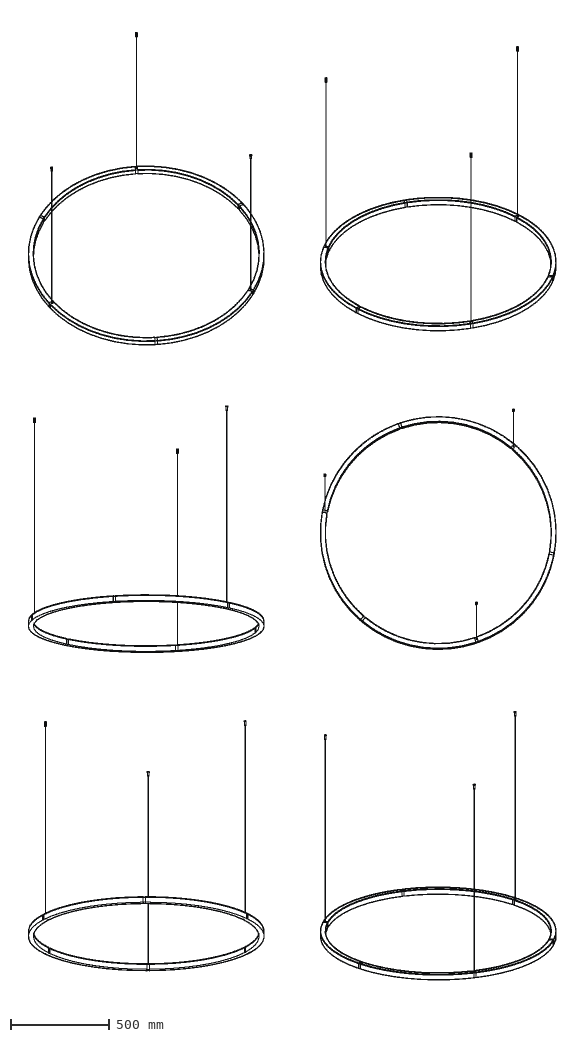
import cadquery as cq
import math

ring_diameter = 1200.0
ring_inner_diameter = 1147.0
total_height = 1054.0
ring_height = 30.0

cover_thickness = 4.0
cover_outer_diameter = 1198.0
cover_inner_diameter = 1151.0
housing_height = ring_height - cover_thickness

joint_count = 6
joint_width = 12.0
top_groove_depth = 1.0

cable_count = 3
cable_diameter = 1.0
cap_diameter = 9.0
cap_height = 22.0
cap_flange_diameter = 11.0
cap_flange_height = 2.0
cable_circle_radius = (ring_diameter + ring_inner_diameter) / 4
cable_base_z = ring_height - top_groove_depth
cable_length = total_height - cap_height - cable_base_z


def annulus(outer_diameter, inner_diameter, height, base_z):
    """Flat ring centred on the Z axis."""
    return (
        cq.Workplane("XY", origin=(0, 0, base_z))
        .circle(outer_diameter / 2)
        .circle(inner_diameter / 2)
        .extrude(height)
    )


def joint_bars(height, base_z):
    """Radial bars covering the joints, each spanning two opposite joints."""
    return [
        cq.Workplane("XY", origin=(0, 0, base_z))
        .box(2 * ring_diameter, joint_width, height, centered=(True, True, False))
        .rotate((0, 0, 0), (0, 0, 1), index * 360 / joint_count)
        for index in range(joint_count // 2)
    ]


def make_housing():
    """Ring housing with shallow wall grooves at the joints of its segments."""
    housing = annulus(ring_diameter, ring_inner_diameter, housing_height, 0)
    groove_core = annulus(cover_outer_diameter, cover_inner_diameter, housing_height, 0)
    for bar in joint_bars(housing_height, 0):
        housing = housing.cut(bar.cut(groove_core))
    return housing


def make_cover():
    """Thin cover strip closing the top of the housing, grooved at the joints."""
    cover = annulus(cover_outer_diameter, cover_inner_diameter, cover_thickness, housing_height)
    for bar in joint_bars(top_groove_depth, cable_base_z):
        cover = cover.cut(bar)
    return cover


def make_rod(diameter, height, base_z, index):
    """Vertical cylinder at one of the suspension points."""
    angle = 2 * math.pi * index / cable_count
    x = cable_circle_radius * math.cos(angle)
    y = cable_circle_radius * math.sin(angle)
    return cq.Workplane("XY", origin=(x, y, base_z)).circle(diameter / 2).extrude(height)


def make_cable(index):
    """Cable running from a cover groove to the underside of its cap."""
    return make_rod(cable_diameter, cable_length, cable_base_z, index)


def make_cap(index):
    """Ceiling cap at the upper end of a cable, with a thin flange on top."""
    body = make_rod(cap_diameter, cap_height, total_height - cap_height, index)
    flange = make_rod(cap_flange_diameter, cap_flange_height, total_height - cap_flange_height, index)
    return body.union(flange)


housing = make_housing()
cover = make_cover()
cables = [make_cable(index) for index in range(cable_count)]
caps = [make_cap(index) for index in range(cable_count)]

result = cq.Compound.makeCompound(
    [housing.val(), cover.val()]
    + [cable.val() for cable in cables]
    + [cap.val() for cap in caps]
)